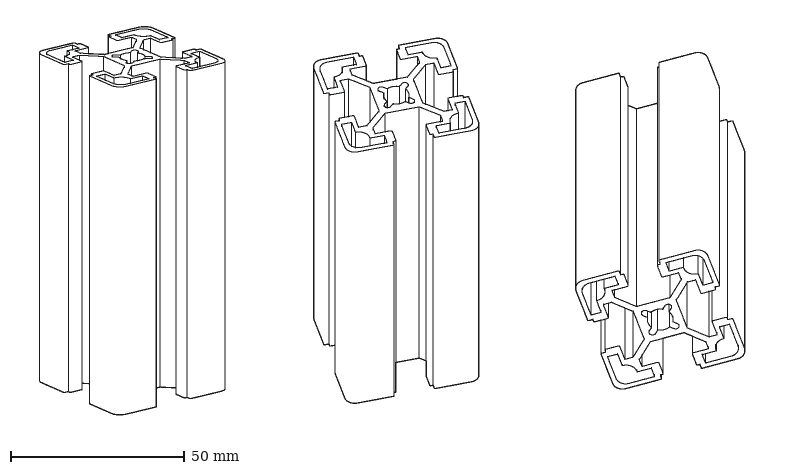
import cadquery as cq
import math

side = 40.0
length = 100.0
half = side / 2
corner_radius = 3.0

mouth_half = 6.0
mouth_depth = 1.5
mouth_radius = 0.3
lip_gap = 10.1
lip_half = lip_gap / 2
lip_front_radius = 0.3
lip_back_radius = 0.4
lip_depth = 6.0
slot_half = 10.1

core_half = 6.5
web_half_offset = 1.4

outer_wall = 1.5
inner_depth = 4.6
cavity_end = 7.7
cavity_inner = half - inner_depth
cavity_outer = half - outer_wall
cavity_outer_radius = 2.9
bulge_inner = 12.0
bulge_radius = 3.2

bore_radius = 3.7
relief_radius = 1.0
relief_centre = 3.5


def t_slot():
    """Cutter for the slot in the +Y face."""
    web_start = slot_half + web_half_offset
    web_end = core_half - web_half_offset
    lip_floor = half - mouth_depth
    lip_back = half - lip_depth
    right_half = (
        cq.Workplane("XY")
        .moveTo(0, half)
        .lineTo(mouth_half + mouth_radius, half)
        .radiusArc((mouth_half, half - mouth_radius), -mouth_radius)
        .lineTo(mouth_half, lip_floor)
        .lineTo(lip_half + lip_front_radius, lip_floor)
        .radiusArc((lip_half, lip_floor - lip_front_radius), -lip_front_radius)
        .lineTo(lip_half, lip_back + lip_back_radius)
        .radiusArc((lip_half + lip_back_radius, lip_back), -lip_back_radius)
        .lineTo(slot_half, lip_back)
        .lineTo(slot_half, web_start)
        .lineTo(web_end, core_half)
        .lineTo(0, core_half)
        .close()
        .extrude(length)
    )
    return right_half.union(right_half.mirror("YZ"))


def corner_cavity():
    """Cutter for the hollow in the +X +Y corner: an L whose inner elbow bulges towards the core."""
    ell = (
        cq.Workplane("XY")
        .moveTo(cavity_end, cavity_inner)
        .lineTo(cavity_inner, cavity_inner)
        .lineTo(cavity_inner, cavity_end)
        .lineTo(cavity_outer, cavity_end)
        .lineTo(cavity_outer, cavity_outer - cavity_outer_radius)
        .radiusArc((cavity_outer - cavity_outer_radius, cavity_outer), -cavity_outer_radius)
        .lineTo(cavity_end, cavity_outer)
        .close()
        .extrude(length)
    )
    bulge_side = cavity_inner - bulge_inner
    bulge = (
        cq.Workplane("XY")
        .rect(bulge_side, bulge_side, centered=False)
        .extrude(length)
        .edges("|Z and <X and <Y")
        .fillet(bulge_radius)
        .translate((bulge_inner, bulge_inner, 0))
    )
    return ell.union(bulge)


def central_bore():
    """Cutter for the bore and its four diagonal relief slots."""
    bore = cq.Workplane("XY").circle(bore_radius).extrude(length)
    relief_length = 2 * (math.hypot(relief_centre, relief_centre) + relief_radius)
    for angle in (45, 135):
        relief = cq.Workplane("XY").slot2D(relief_length, 2 * relief_radius, angle).extrude(length)
        bore = bore.union(relief)
    return bore


profile = cq.Workplane("XY").rect(side, side).extrude(length).edges("|Z").fillet(corner_radius)
for quarter_turn in range(4):
    angle = 90 * quarter_turn
    for cutter in (t_slot(), corner_cavity()):
        profile = profile.cut(cutter.rotate((0, 0, 0), (0, 0, 1), angle))

result = profile.cut(central_bore())